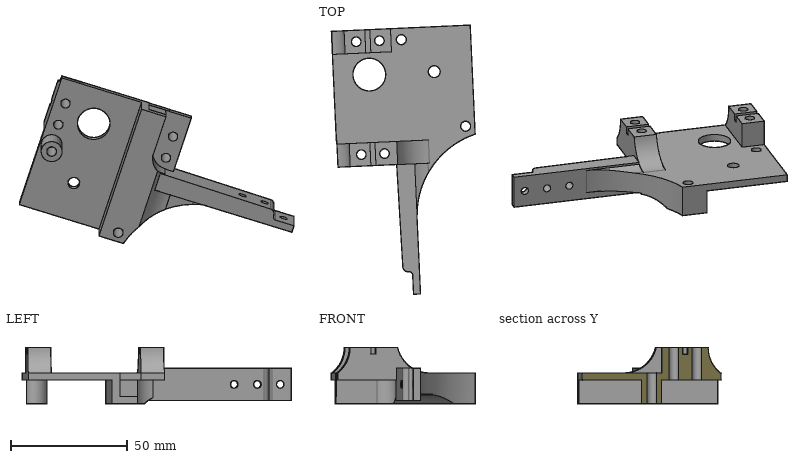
import cadquery as cq
import math

tilt = 2.6

plate_bottom = 10.25
plate_top = 13.4
block_top = 24.4
arm_bottom = 1.4
arm_top = 15.5

plate_width = 60.0
plate_side_length = 47.1
plate_left_length = 58.7

block_length = 20.0
block_depth = 10.0
block_left = 5.55
block_right = block_left + block_length
block_middle = block_left + block_length / 2
front_block_back = -(plate_left_length - block_depth)
cove_radius = 14.0
front_cove_end = 39.7
screw_diameter = 4.0
screw_spacing = 10.0
slot_width = 2.2
slot_depth = 2.9

wall_back = -36.05
wall_front = -plate_side_length
wall_fillet = 7.8
recess_back = -39.5
recess_floor = 3.3
recess_depth = 0.08
plate_recess_depth = 0.15
front_setback = 0.2
undercut_radius = 12.0
undercut_height = 3.85
web_bottom = 4.3
undercut_y = -60.0

arm_right = 33.35
arm_left_root = 25.35
arm_left_end = 26.2
arm_middle = (arm_left_end + arm_right) / 2
shoulder_y = -105.1
arm_end = -114.88
tip_thickness = 3.1
shoulder_radius = 2.35
tip_fillet = 1.4
web_radius = 36.7
web_cove_start = 32.85
web_cove_end = 39.1

arm_hole_diameter = 3.2
arm_hole_count = 3
arm_hole_spacing = 10.0
arm_hole_end_gap = 4.8
mount_diameter = 4.2
boss_diameter = 9.0
boss_hole = (30.0, -5.0)
corner_hole = (56.0, -43.5)
motor_diameter = 14.0
pivot_diameter = 5.0
pivot_spacing = 28.0
motor_hole = (block_middle, -19.4)
pivot_hole = (block_middle + pivot_spacing, -19.4)


def box(x0, x1, y0, y1, z0, z1):
    return cq.Workplane("XY").box(x1 - x0, y1 - y0, z1 - z0, centered=False).translate((x0, y0, z0))


def pin(point, diameter, z0, z1):
    return cq.Workplane("XY").workplane(offset=z0).center(*point).circle(diameter / 2).extrude(z1 - z0)


web_center_x = arm_right + web_radius
web_corner_dx = web_center_x - plate_width
web_center_y = wall_front - math.sqrt(web_radius**2 - web_corner_dx**2)


def web_arc_point(angle):
    return (
        web_center_x - web_radius * math.cos(angle),
        web_center_y + web_radius * math.sin(angle),
    )


web_angle = math.acos(web_corner_dx / web_radius)


def start_outline(back, height):
    """Back edge, right edge and web arc, ending where the arc meets the right side of the arm."""
    return (
        cq.Workplane("XY")
        .workplane(offset=height)
        .moveTo(0, back)
        .lineTo(plate_width, back)
        .lineTo(plate_width, wall_front)
        .threePointArc(web_arc_point(web_angle / 2), web_arc_point(0))
        .lineTo(arm_middle, web_center_y)
    )


def plate():
    return (
        start_outline(0, plate_bottom)
        .lineTo(arm_middle, -plate_left_length)
        .lineTo(0, -plate_left_length)
        .close()
        .extrude(plate_top - plate_bottom)
    )


def wall():
    fillet_x = arm_left_root - wall_fillet
    bend = wall_fillet * math.sqrt(0.5)
    body = (
        start_outline(wall_back, 0)
        .lineTo(arm_middle, wall_front - wall_fillet)
        .lineTo(arm_left_root, wall_front - wall_fillet)
        .threePointArc((fillet_x + bend, wall_front - wall_fillet + bend), (fillet_x, wall_front))
        .lineTo(0, wall_front)
        .close()
        .extrude(plate_top)
    )
    undercut = (
        cq.Workplane("YZ")
        .center(undercut_y, undercut_height - undercut_radius)
        .circle(undercut_radius)
        .extrude(plate_width)
    )
    under_web = box(0, plate_width, web_center_y, undercut_y, 0, web_bottom)
    return body.cut(undercut).cut(under_web)


def right_cove(x0, center_x, y0, y1):
    """Material from x0 to center_x whose top is a cove running down tangent to the plate top."""
    center_z = plate_top + cove_radius
    body = box(x0, center_x, y0, y1, plate_bottom, block_top)
    cylinder = (
        cq.Workplane("XZ", origin=(0, y1, 0))
        .center(center_x, center_z)
        .circle(cove_radius)
        .extrude(y1 - y0)
    )
    return body.cut(cylinder)


def web_cove():
    """Cove beside the arm, cut to the web arc; its inner part lies inside the arm."""
    web_void = (
        cq.Workplane("XY").center(web_center_x, web_center_y).circle(web_radius).extrude(block_top)
    )
    return right_cove(web_cove_start, web_cove_end, web_center_y, -plate_left_length).cut(web_void)


def block(back):
    body = box(0, block_right, back - block_depth, back, plate_bottom, block_top)
    cove = (
        cq.Workplane("XZ", origin=(0, back, 0))
        .center(block_left - cove_radius, block_top)
        .circle(cove_radius)
        .extrude(block_depth)
    )
    slot = box(
        block_middle - slot_width / 2,
        block_middle + slot_width / 2,
        back - block_depth,
        back,
        block_top - slot_depth,
        block_top,
    )
    return body.cut(cove).cut(slot)


def arm():
    tip_left = arm_right - tip_thickness
    body = (
        cq.Workplane("XY")
        .workplane(offset=arm_bottom)
        .moveTo(arm_left_root, wall_front)
        .lineTo(arm_left_end, shoulder_y)
        .lineTo(tip_left, shoulder_y)
        .lineTo(tip_left, arm_end)
        .lineTo(arm_right, arm_end)
        .lineTo(arm_right, wall_front)
        .close()
        .extrude(arm_top - arm_bottom)
    )
    above_plate = box(0, plate_width, -plate_left_length, 0, plate_top, block_top)
    body = body.cut(above_plate)
    corner = cq.selectors.NearestToPointSelector((arm_left_end, shoulder_y, arm_top / 2))
    inner = cq.selectors.NearestToPointSelector((tip_left, shoulder_y, arm_top / 2))
    body = body.edges("|Z").edges(corner).fillet(shoulder_radius)
    return body.edges("|Z").edges(inner).fillet(tip_fillet)


def arm_holes():
    holes = cq.Workplane("YZ")
    middle = (arm_bottom + arm_top) / 2
    points = [
        (arm_end + arm_hole_end_gap + i * arm_hole_spacing, middle) for i in range(arm_hole_count)
    ]
    return holes.pushPoints(points).circle(arm_hole_diameter / 2).extrude(plate_width)


def side_recesses():
    """Shallow steps in the left side of the wall and of the plate's front half."""
    wall_recess = box(0, recess_depth, front_block_back, recess_back, recess_floor, plate_bottom)
    plate_recess = box(0, plate_recess_depth, front_block_back, recess_back, plate_bottom, plate_top)
    front_recess = box(0, front_setback, -plate_left_length, front_block_back, plate_bottom, plate_top)
    return wall_recess.union(plate_recess).union(front_recess)


block_backs = (0, front_block_back)

part = plate().union(wall()).union(arm()).union(web_cove())
part = part.union(right_cove(block_right, front_cove_end, -plate_left_length, front_block_back))
part = part.union(pin(boss_hole, boss_diameter, 0, plate_top))
for back in block_backs:
    part = part.union(block(back))

for back in block_backs:
    for side in (-1, 1):
        screw = (block_middle + side * screw_spacing / 2, back - block_depth / 2)
        part = part.cut(pin(screw, screw_diameter, 0, block_top))
for center, diameter in (
    (boss_hole, mount_diameter),
    (corner_hole, mount_diameter),
    (motor_hole, motor_diameter),
    (pivot_hole, pivot_diameter),
):
    part = part.cut(pin(center, diameter, 0, plate_top))
part = part.cut(side_recesses()).cut(arm_holes())

result = part.rotate((0, 0, 0), (0, 0, 1), tilt)